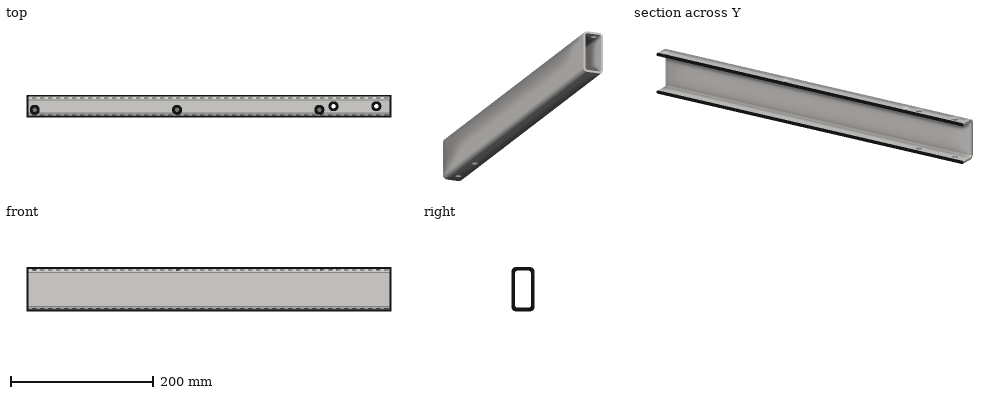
import cadquery as cq

length = 510.0
width = 30.0
height = 60.0
wall = 3.0
outer_radius = 6.0
inner_radius = outer_radius - wall

top_hole_diameter = 8.5
top_hole_y = -5.0
top_hole_end_distance = 10.0
top_hole_pitch = 200.0
top_hole_count = 3

through_hole_diameter = 8.5
through_hole_end_distance = 20.0
through_hole_pitch = 60.0

countersink_diameter = 11.5


def rounded_bar(bar_width, bar_height, radius):
    """Full-length bar with rounded long edges."""
    return cq.Workplane("XY").box(length, bar_width, bar_height).edges("|X").fillet(radius)


def vertical_cutters(positions, diameter, bottom_z):
    """Round cutters from bottom_z to the top face, each with a 45 degree countersink."""
    top_radius = countersink_diameter / 2
    radius = diameter / 2
    countersink_depth = top_radius - radius
    cutter = (
        cq.Workplane("XZ")
        .moveTo(0, bottom_z)
        .lineTo(radius, bottom_z)
        .lineTo(radius, height / 2 - countersink_depth)
        .lineTo(top_radius, height / 2)
        .lineTo(0, height / 2)
        .close()
        .revolve(360, (0, 0), (0, 1))
        .val()
    )
    return cq.Workplane("XY").pushPoints(positions).eachpoint(lambda place: cutter.moved(place))


tube = rounded_bar(width, height, outer_radius).cut(
    rounded_bar(width - 2 * wall, height - 2 * wall, inner_radius)
)

first_top_hole_x = -length / 2 + top_hole_end_distance
top_hole_positions = [
    (first_top_hole_x + i * top_hole_pitch, top_hole_y) for i in range(top_hole_count)
]
last_through_hole_x = length / 2 - through_hole_end_distance
through_hole_positions = [
    (last_through_hole_x - through_hole_pitch, 0),
    (last_through_hole_x, 0),
]

result = tube.cut(vertical_cutters(top_hole_positions, top_hole_diameter, 0)).cut(
    vertical_cutters(through_hole_positions, through_hole_diameter, -height / 2)
)